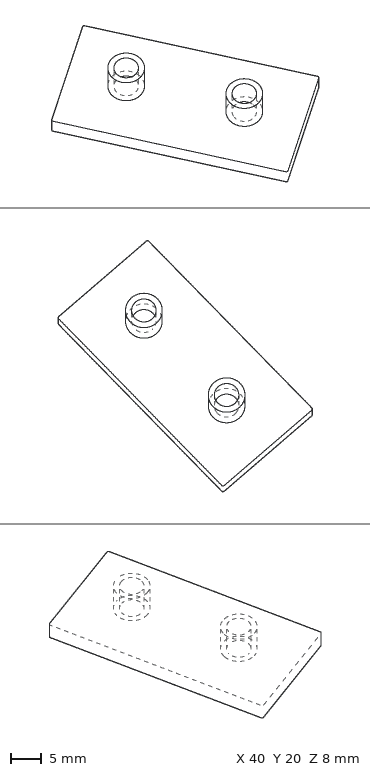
import cadquery as cq

plate_length = 40.0
plate_width = plate_length / 2
plate_thickness = 3.0
edge_radius = 0.3

boss_spacing = plate_length / 2
boss_diameter = 6.0
bore_diameter = 4.0
boss_height = 5.0
bore_depth = boss_height


def make_plate():
    """Plate with rounded vertical corners and a rounded bottom rim."""
    plate = cq.Workplane("XY").box(
        plate_length, plate_width, plate_thickness, centered=(True, True, False)
    )
    return plate.edges("|Z or <Z").fillet(edge_radius)


def boss_cylinders(diameter, bottom, height):
    """One cylinder at each boss position."""
    half_spacing = boss_spacing / 2
    return (
        cq.Workplane("XY")
        .workplane(offset=bottom)
        .pushPoints([(-half_spacing, 0), (half_spacing, 0)])
        .circle(diameter / 2)
        .extrude(height)
    )


bosses = boss_cylinders(boss_diameter, plate_thickness, boss_height)
boss_top = plate_thickness + boss_height
bores = boss_cylinders(bore_diameter, boss_top - bore_depth, bore_depth)

result = make_plate().union(bosses).cut(bores)